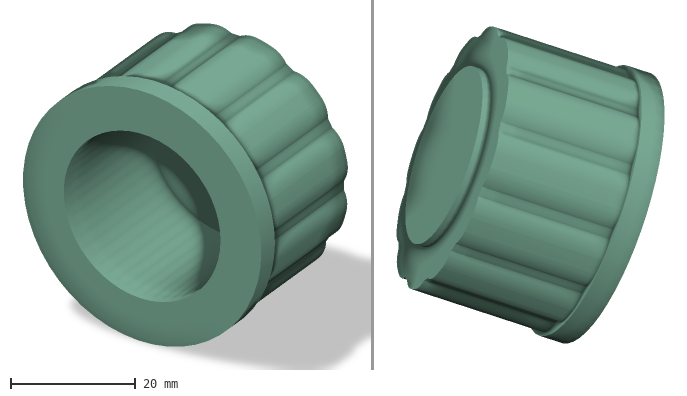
import cadquery as cq
import math

flange_thickness = 4.0
grip_length = 23.0
plug_protrusion = 1.5
plug_thickness = 2 * plug_protrusion

flange_radius = 22.75
crown_radius = 22.0
valley_radius = 21.0
bore_radius = 14.95
flank_radius = 5.0

lobe_count = 12
lobe_pitch = 360 / lobe_count
first_lobe_angle = 14.1
crown_half_angle = 3.6

cap_length = flange_thickness + grip_length

flank_center_radius = crown_radius - flank_radius
flank_half_angle = crown_half_angle + math.degrees(math.acos(
    (valley_radius**2 + flank_center_radius**2 - flank_radius**2)
    / (2 * valley_radius * flank_center_radius)
))


def polar(radius, angle):
    """Point in the XZ plane at the given angle in degrees."""
    return radius * math.cos(math.radians(angle)), radius * math.sin(math.radians(angle))


def cylinder(radius, start, length):
    """Solid cylinder around Y, running towards +Y from Y = start."""
    return cq.Workplane("XZ", origin=(0, start, 0)).circle(radius).extrude(-length)


def make_lobed_grip():
    """Grip with tangent-rounded lobes separated by narrow valleys."""
    outline = cq.Workplane("XZ", origin=(0, flange_thickness, 0)).moveTo(
        *polar(valley_radius, first_lobe_angle - flank_half_angle)
    )
    for index in range(lobe_count):
        middle = first_lobe_angle + index * lobe_pitch
        crown_start = middle - crown_half_angle
        crown_end = middle + crown_half_angle
        flank_end = middle + flank_half_angle
        next_flank_start = middle + lobe_pitch - flank_half_angle
        outline = (
            outline
            .threePointArc(flank_middle(middle, -1), polar(crown_radius, crown_start))
            .threePointArc(polar(crown_radius, middle), polar(crown_radius, crown_end))
            .threePointArc(flank_middle(middle, 1), polar(valley_radius, flank_end))
            .threePointArc(
                polar(valley_radius, middle + lobe_pitch / 2),
                polar(valley_radius, next_flank_start),
            )
        )
    return outline.close().extrude(-grip_length)


def flank_middle(lobe_angle, side):
    """Midpoint of a flank arc; side is -1 before the crown and +1 after it."""
    crown_edge_angle = lobe_angle + side * crown_half_angle
    center_x, center_z = polar(flank_center_radius, crown_edge_angle)
    valley_x, valley_z = polar(valley_radius, lobe_angle + side * flank_half_angle)
    valley_direction = math.degrees(math.atan2(valley_z - center_z, valley_x - center_x))
    turn = (valley_direction - crown_edge_angle + 180) % 360 - 180
    offset_x, offset_z = polar(flank_radius, crown_edge_angle + turn / 2)
    return center_x + offset_x, center_z + offset_z


def make_cap():
    """Flanged grip with a through bore."""
    flange = cylinder(flange_radius, 0, flange_thickness)
    bore = cylinder(bore_radius, 0, cap_length)
    return flange.union(make_lobed_grip()).cut(bore)


def make_plug():
    """Disc closing the far end of the bore and standing proud of it."""
    plug_start = cap_length + plug_protrusion - plug_thickness
    return cylinder(bore_radius, plug_start, plug_thickness)


cap = make_cap()
plug = make_plug()

result = cq.Compound.makeCompound([cap.solids().val(), plug.val()])